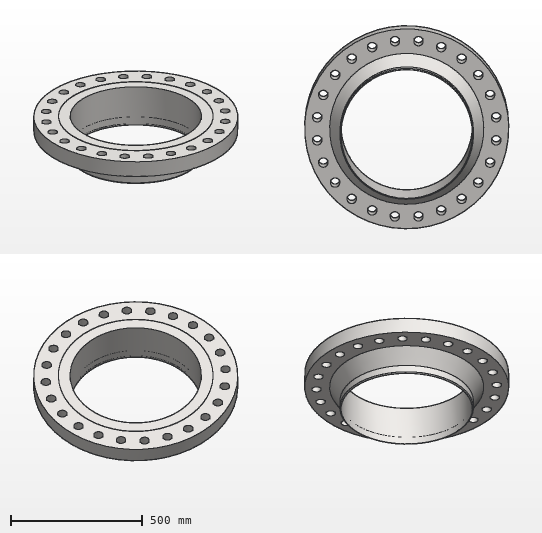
import cadquery as cq

outer_diameter = 775.0
total_height = 162.0
bore_diameter = 498.0

ring_thickness = 64.0
face_diameter = 587.0
face_height = 1.5

hub_diameter = 585.0
neck_diameter = 507.5
neck_height = 33.0
chamfer_width = 4.0
chamfer_height = 5.0

bolt_count = 24
bolt_circle_diameter = 685.0
bolt_hole_diameter = 36.0

ring_bottom = total_height - ring_thickness
ring_top = total_height - face_height


def flange_body():
    """Revolve the half section, with radius along X and height along Z."""
    bore_radius = bore_diameter / 2
    neck_radius = neck_diameter / 2
    outer_radius = outer_diameter / 2
    face_radius = face_diameter / 2
    section = [
        (bore_radius, 0),
        (neck_radius - chamfer_width, 0),
        (neck_radius, chamfer_height),
        (neck_radius, neck_height),
        (hub_diameter / 2, ring_bottom),
        (outer_radius, ring_bottom),
        (outer_radius, ring_top),
        (face_radius, ring_top),
        (face_radius, total_height),
        (bore_radius, total_height),
    ]
    return cq.Workplane("XZ").polyline(section).close().revolve(360, (0, 0), (0, 1))


def bolt_holes():
    """Cylinders through the full ring, offset half a pitch from the X axis."""
    half_pitch = 180 / bolt_count
    return (
        cq.Workplane("XY", origin=(0, 0, ring_bottom))
        .polarArray(bolt_circle_diameter / 2, half_pitch, 360, bolt_count)
        .circle(bolt_hole_diameter / 2)
        .extrude(ring_thickness)
    )


result = flange_body().cut(bolt_holes())